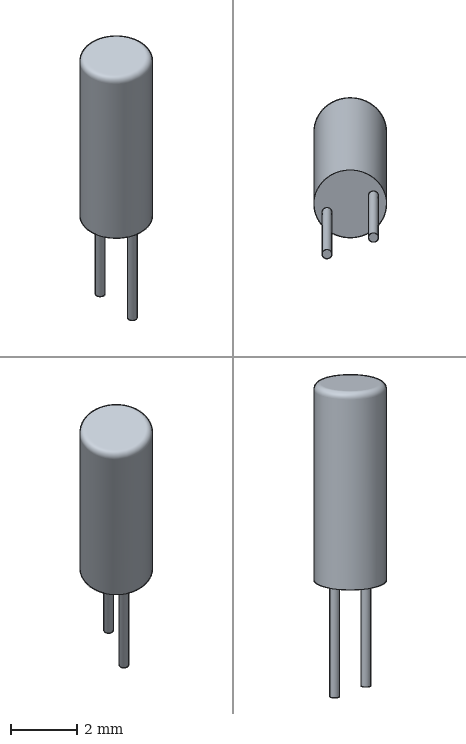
import cadquery as cq

total_height = 9.7
lead_length = 3.5
can_height = total_height - lead_length

can_diameter = 2.2
top_edge_radius = 0.2

lead_diameter = 0.3
lead_spacing = 1.5


def make_can():
    """Upright can standing on Z = 0, with a rounded top edge."""
    can = cq.Workplane("XY").circle(can_diameter / 2).extrude(can_height)
    return can.faces(">Z").edges().fillet(top_edge_radius)


def make_leads():
    """Two round leads hanging below the can, spaced along X."""
    lead_centres = [(-lead_spacing / 2, 0), (lead_spacing / 2, 0)]
    return (
        cq.Workplane("XY")
        .pushPoints(lead_centres)
        .circle(lead_diameter / 2)
        .extrude(-lead_length)
    )


result = make_can().union(make_leads())